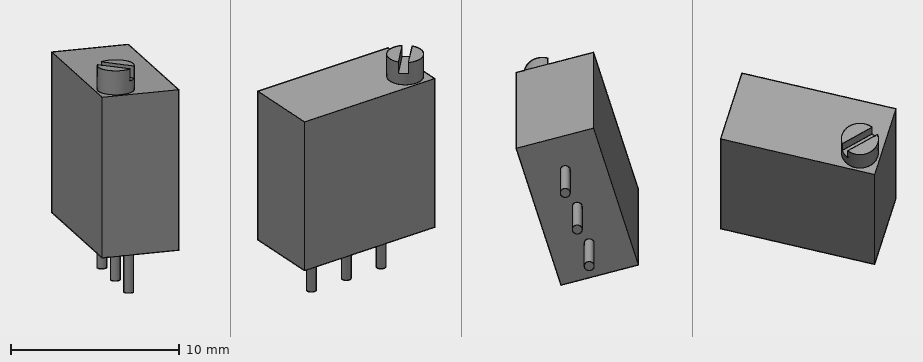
import cadquery as cq

body_length = 9.5
body_width = 4.8
body_height = 10.0

pin_diameter = 0.6
pin_length = 3.0
pin_pitch = 2.54
pin_count = 3

total_height = 14.5
screw_diameter = 2.2
screw_height = total_height - body_height - pin_length
screw_x = 3.5
screw_y = -1.13
slot_width = 0.6
slot_depth = screw_height / 2
slot_angle = 48.5


def make_body():
    return cq.Workplane("XY").box(body_length, body_width, body_height, centered=(True, True, False))


def make_pins():
    return (
        cq.Workplane("XY")
        .rarray(pin_pitch, 0.15, pin_count, 1)
        .circle(pin_diameter / 2)
        .extrude(-pin_length)
    )


def make_screw():
    head = cq.Workplane("XY").circle(screw_diameter / 2).extrude(screw_height)
    slot = (
        cq.Workplane("XY")
        .box(2 * screw_diameter, slot_width, slot_depth, centered=(True, True, False))
        .rotate((0, 0, 0), (0, 0, 1), slot_angle)
        .translate((0, 0, screw_height - slot_depth))
    )
    return head.cut(slot).translate((screw_x, screw_y, body_height))


result = make_body().union(make_pins()).union(make_screw())